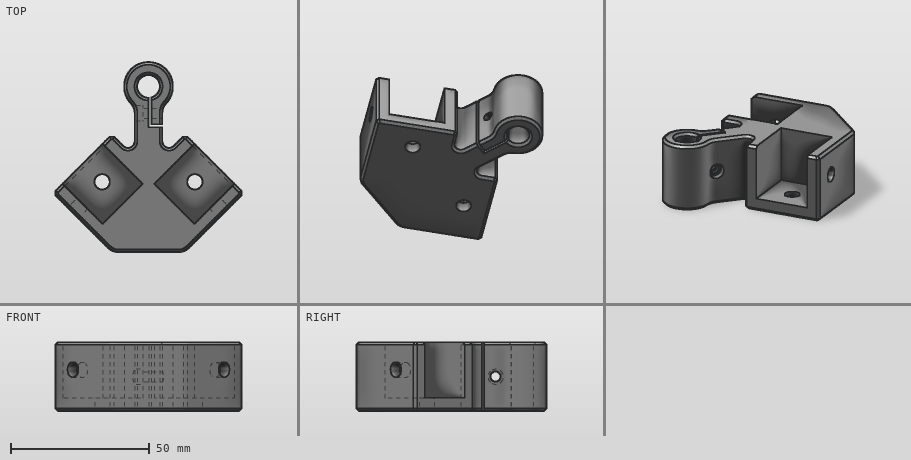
import cadquery as cq
import math

height = 25.0
edge_chamfer = 1.0

ring_radius = 8.87
ring_bore = 8.2
neck_width = 10.1
neck_fillet = 5.0
notch_fillet = 2.4

base_y = -60.0
overall_width = 67.51
wing_face_length = 30.0
wing_corner_y = -38.64
corner_chamfer = 1.0
base_fillet = 5.0

pocket_size = 20.5
pocket_floor = 4.75
wing_hole_diameter = 5.5
floor_hole_depth = 9.6
floor_hole_tip_shift = 0.4
side_hole_depth = 10.0

slot_width = 1.0
slot_end_y = -14.7
screw_diameter = 3.6
screw_head_diameter = 5.5
screw_y = -9.65
screw_head_depth = 3.0

diagonal = math.sqrt(0.5)
wing_corner_x = overall_width / 2 + corner_chamfer * diagonal
tip_x = wing_corner_x - wing_face_length * diagonal
tip_y = wing_corner_y + wing_face_length * diagonal
base_half_width = wing_corner_x - (wing_corner_y - base_y)

neck_half_width = neck_width / 2
notch_y = tip_y - (tip_x - neck_half_width)
ring_joint_y = -math.sqrt(ring_radius**2 - neck_half_width**2)


def upright_edges(solid, x, y):
    """Select the two mirrored vertical edges at (+x, y) and (-x, y)."""
    reach = 0.1
    right = cq.selectors.BoxSelector((x - reach, y - reach, 0), (x + reach, y + reach, height))
    left = cq.selectors.BoxSelector((-x - reach, y - reach, 0), (-x + reach, y + reach, height))
    return solid.edges("|Z").edges(right + left)


def make_body():
    right_side = [
        (base_half_width, base_y),
        (wing_corner_x, wing_corner_y),
        (tip_x, tip_y),
        (neck_half_width, notch_y),
        (neck_half_width, 0),
    ]
    left_side = [(-x, y) for x, y in reversed(right_side)]
    body = cq.Workplane("XY").polyline(right_side + left_side).close().extrude(height)
    ring = cq.Workplane("XY").circle(ring_radius).extrude(height)
    body = body.union(ring)

    body = upright_edges(body, base_half_width, base_y).fillet(base_fillet)
    body = upright_edges(body, neck_half_width, notch_y).fillet(notch_fillet)
    body = upright_edges(body, neck_half_width, ring_joint_y).fillet(neck_fillet)
    body = upright_edges(body, wing_corner_x, wing_corner_y).chamfer(corner_chamfer)
    body = upright_edges(body, tip_x, tip_y).chamfer(corner_chamfer)

    bore = cq.Workplane("XY").circle(ring_bore / 2).extrude(height)
    return body.cut(bore).faces("|Z").edges().chamfer(edge_chamfer)


def make_wing_cut(side):
    """Pocket and holes of one wing: side is +1 for the right wing, -1 for the left."""
    face_center = cq.Vector(side * (wing_corner_x + tip_x) / 2, (wing_corner_y + tip_y) / 2, 0)
    inward = cq.Vector(-side * diagonal, -diagonal, 0)
    wing = cq.Workplane(cq.Plane(origin=face_center, xDir=inward, normal=(0, 0, 1)))

    pocket = (
        wing.workplane(offset=pocket_floor)
        .rect(2 * pocket_size, pocket_size)
        .extrude(height)
    )
    floor_hole = (
        wing.center(floor_hole_depth, -side * floor_hole_tip_shift)
        .circle(wing_hole_diameter / 2)
        .extrude(height)
    )

    side_hole_start = face_center + inward * side_hole_depth
    side_hole_start += cq.Vector(0, 0, pocket_floor + pocket_size / 2)
    toward_base = cq.Vector(side * diagonal, -diagonal, 0)
    side_hole = cq.Solid.makeCylinder(
        wing_hole_diameter / 2, wing_face_length, side_hole_start, toward_base
    )
    return pocket.union(floor_hole).union(cq.Workplane(side_hole))


def make_clamp_slot():
    """L-shaped slot from the bore down the neck and out through its right side."""
    down = cq.Workplane("XY").rect(slot_width, -slot_end_y, centered=False).extrude(height)
    down = down.translate((0, slot_end_y, 0))
    across = cq.Workplane("XY").rect(neck_width, slot_width, centered=False).extrude(height)
    return down.union(across.translate((0, slot_end_y, 0)))


def make_clamp_screw():
    """Through hole along X with a counterbore for the head on the left of the neck."""
    axis_start = cq.Workplane("YZ", origin=(-ring_radius, screw_y, height / 2))
    shank = axis_start.circle(screw_diameter / 2).extrude(2 * ring_radius)
    head_seat_x = -neck_half_width + screw_head_depth
    head = axis_start.circle(screw_head_diameter / 2).extrude(ring_radius + head_seat_x)
    return shank.union(head)


result = make_body()
for wing_side in (1, -1):
    result = result.cut(make_wing_cut(wing_side))
result = result.cut(make_clamp_slot()).cut(make_clamp_screw())